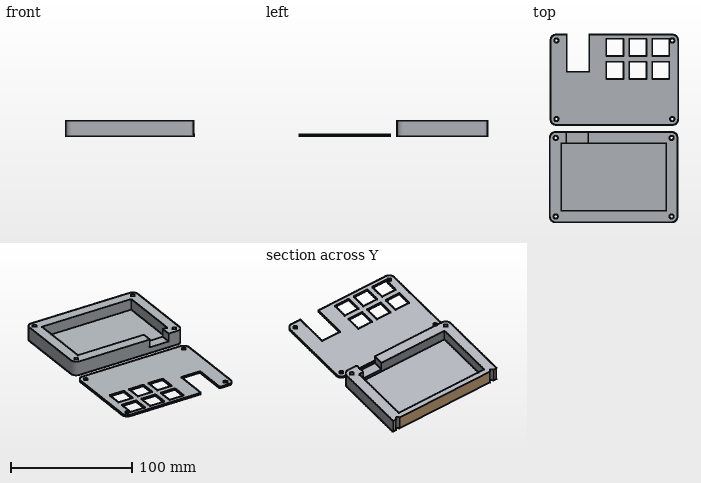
import cadquery as cq

body_width = 105.7
body_depth = 74.9
corner_radius = 5.0
screw_hole_diameter = 3.4
screw_inset = corner_radius

case_height = 13.0
floor_thickness = 3.0
pocket_width = 87.0
pocket_depth = 56.0
side_wall = (body_width - pocket_width) / 2
back_wall = 9.3

opening_left = 13.7
opening_width = 18.3
notch_height = 7.5
plate_slot_length = 30.8

plate_thickness = 1.5
plate_shift = 0.56
plate_gap = 5.6
plate_front = body_depth + plate_gap

key_columns = 3
key_rows = 2
key_size = 14.0
key_pitch = 19.0
first_key_left = 46.3
key_back_margin = 3.7


def box_at(x, y, z, width, depth, height):
    """Box with its left, front, bottom corner at (x, y, z)."""
    return cq.Workplane("XY").box(width, depth, height, centered=False).translate((x, y, z))


def drilled_slab(height):
    """Slab with rounded corners and a through screw hole in each corner."""
    slab = box_at(0, 0, 0, body_width, body_depth, height).edges("|Z").fillet(corner_radius)
    screw_points = [
        (x, y)
        for x in (screw_inset, body_width - screw_inset)
        for y in (screw_inset, body_depth - screw_inset)
    ]
    holes = (
        cq.Workplane("XY")
        .pushPoints(screw_points)
        .circle(screw_hole_diameter / 2)
        .extrude(height)
    )
    return slab.cut(holes)


def make_case():
    """Open tray with a notch through the top of its back wall."""
    pocket_back = body_depth - back_wall
    pocket = box_at(
        side_wall,
        pocket_back - pocket_depth,
        floor_thickness,
        pocket_width,
        pocket_depth,
        case_height - floor_thickness,
    )
    notch = box_at(
        opening_left,
        pocket_back,
        case_height - notch_height,
        opening_width,
        back_wall,
        notch_height,
    )
    return drilled_slab(case_height).cut(pocket).cut(notch)


def make_plate():
    """Flat plate with a slot open at the back edge and a grid of square key cutouts."""
    plate = drilled_slab(plate_thickness)
    slot_front = body_depth - plate_slot_length
    plate = plate.cut(
        box_at(opening_left, slot_front, 0, opening_width, plate_slot_length, plate_thickness)
    )
    back_row_front = body_depth - key_back_margin - key_size
    for column in range(key_columns):
        for row in range(key_rows):
            key_left = first_key_left + column * key_pitch
            key_front = back_row_front - row * key_pitch
            plate = plate.cut(box_at(key_left, key_front, 0, key_size, key_size, plate_thickness))
    return plate.translate((plate_shift, plate_front, 0))


case = make_case()
plate = make_plate()

result = cq.Compound.makeCompound([case.val(), plate.val()])